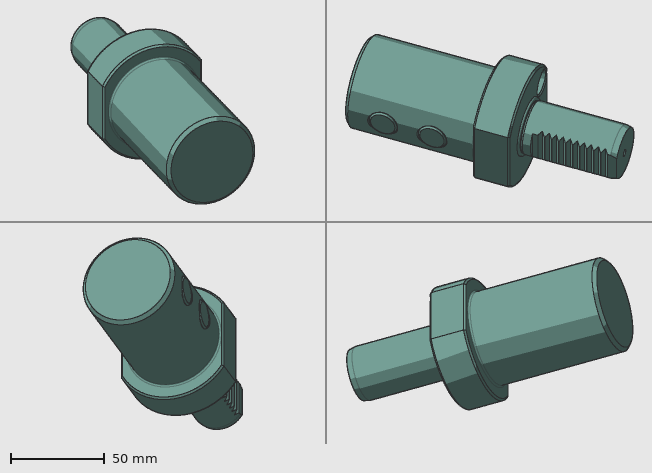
import cadquery as cq
import math


total_length = 150.0
flange_start = 55.0
flange_end = 76.0

shank_radius = 15.0
shank_lead_length = 3.5
shank_end_radius = 14.2
shank_flat_height = 12.0
shank_flat_end = 48.0

tooth_gap_count = 10
tooth_row_length = 36.0
tooth_pitch = tooth_row_length / (tooth_gap_count - 1)
first_tooth_gap = 7.0
tooth_gap_depth = 1.8
tooth_gap_half_width = tooth_gap_depth

centre_hole_radius = 2.0
pilot_radius = 1.0
centre_cone_half_angle = 30.0
pilot_depth = 3.0

flange_diameter = 68.0
flange_radius = flange_diameter / 2
flange_back_flat = 28.0
flange_front_flat = 30.0
flange_chamfer = 1.0

body_radius = 26.0
body_end_chamfer = 2.0
body_root_fillet = 1.0

ring_section_radius = 1.12
ring_centre_radius = 15.5
ring_centre_x = 54.8
undercut_start = 52.6
undercut_depth = 0.5

coolant_hole_circle = 25.0
coolant_hole_angle = 30.0
coolant_hole_radius = 7.0
coolant_hole_chamfer = 0.8
coolant_hole_step_depth = 8.2
coolant_hole_inner_radius = 6.8
coolant_hole_depth = 13.5

first_screw_x = 100.0
screw_spacing = 28.0
screw_positions = (first_screw_x, first_screw_x + screw_spacing)
screw_radius = 8.0
screw_chamfer = 1.0
screw_length = 15.0
screw_top = body_radius
screw_hole_rim_radius = 8.5

drill_half_angle = 59.0


def cone_length(radius_change, half_angle):
    """Axial length over which a cone changes its radius by the given amount."""
    return radius_change / math.tan(math.radians(half_angle))


def revolve_about_x(profile):
    """Solid of revolution from a profile whose ends lie on the X axis."""
    return profile.close().revolve(360, (0, 0, 0), (1, 0, 0))


def make_shank():
    profile = (
        cq.Workplane("XY")
        .lineTo(0, shank_end_radius)
        .lineTo(shank_lead_length, shank_radius)
        .lineTo(undercut_start, shank_radius)
        .lineTo(ring_centre_x - ring_section_radius, shank_radius - undercut_depth)
        .lineTo(flange_start, shank_radius - undercut_depth)
        .lineTo(flange_start, 0)
    )
    return revolve_about_x(profile)


def make_shank_flat():
    return (
        cq.Workplane("XY")
        .box(shank_flat_end, shank_radius, 2 * shank_radius, centered=(False, False, True))
        .translate((0, shank_flat_height, 0))
    )


def make_tooth_gaps():
    gaps = cq.Workplane("XY").workplane(offset=-shank_radius)
    for index in range(tooth_gap_count):
        x = first_tooth_gap + index * tooth_pitch
        gaps = (
            gaps.moveTo(x - tooth_gap_half_width, shank_flat_height)
            .lineTo(x, shank_flat_height - tooth_gap_depth)
            .lineTo(x + tooth_gap_half_width, shank_flat_height)
            .close()
        )
    return gaps.extrude(2 * shank_radius)


def make_centre_hole():
    cone_end = cone_length(centre_hole_radius - pilot_radius, centre_cone_half_angle)
    pilot_tip = pilot_depth + cone_length(pilot_radius, drill_half_angle)
    profile = (
        cq.Workplane("XY")
        .lineTo(0, centre_hole_radius)
        .lineTo(cone_end, pilot_radius)
        .lineTo(pilot_depth, pilot_radius)
        .lineTo(pilot_tip, 0)
    )
    return revolve_about_x(profile)


def make_flange():
    thickness = flange_end - flange_start
    width = flange_front_flat + flange_back_flat
    disc = cq.Workplane("YZ").workplane(offset=flange_start).circle(flange_radius).extrude(thickness)
    slab = (
        cq.Workplane("XY")
        .box(thickness, width, 2 * flange_radius, centered=(False, False, True))
        .translate((flange_start, -flange_front_flat, 0))
    )
    return disc.intersect(slab).faces("<X or >X").edges().chamfer(flange_chamfer)


def make_body():
    root = flange_end + body_root_fillet
    arc_offset = body_root_fillet * (1 - math.sqrt(0.5))
    profile = (
        cq.Workplane("XY")
        .moveTo(flange_end, 0)
        .lineTo(flange_end, body_radius + body_root_fillet)
        .threePointArc((flange_end + arc_offset, body_radius + arc_offset), (root, body_radius))
        .lineTo(total_length - body_end_chamfer, body_radius)
        .lineTo(total_length, body_radius - body_end_chamfer)
        .lineTo(total_length, 0)
    )
    return revolve_about_x(profile)


def make_coolant_hole():
    angle = math.radians(coolant_hole_angle)
    tip = coolant_hole_depth + cone_length(coolant_hole_inner_radius, drill_half_angle)
    profile = (
        cq.Workplane("XY")
        .lineTo(0, coolant_hole_radius + coolant_hole_chamfer)
        .lineTo(coolant_hole_chamfer, coolant_hole_radius)
        .lineTo(coolant_hole_step_depth, coolant_hole_radius)
        .lineTo(coolant_hole_step_depth, coolant_hole_inner_radius)
        .lineTo(coolant_hole_depth, coolant_hole_inner_radius)
        .lineTo(tip, 0)
    )
    return revolve_about_x(profile).translate(
        (flange_start, -coolant_hole_circle * math.cos(angle), coolant_hole_circle * math.sin(angle))
    )


def make_screw_hole(x):
    """Blind hole along Y whose mouth widens conically at 45 degrees to the body surface."""
    bottom = screw_top - screw_length
    cone_start = body_radius - (screw_hole_rim_radius - screw_radius)
    profile = (
        cq.Workplane("XY")
        .moveTo(0, bottom)
        .lineTo(screw_radius, bottom)
        .lineTo(screw_radius, cone_start)
        .lineTo(screw_hole_rim_radius, body_radius)
        .lineTo(0, body_radius)
        .close()
    )
    return profile.revolve(360, (0, 0, 0), (0, 1, 0)).translate((x, 0, 0))


def make_clamping_screw(x):
    bottom = screw_top - screw_length
    screw = cq.Workplane("XZ", origin=(x, bottom, 0)).circle(screw_radius).extrude(-screw_length)
    return screw.faces(">Y").chamfer(screw_chamfer)


def make_sealing_ring():
    return (
        cq.Workplane("XY")
        .center(ring_centre_x, ring_centre_radius)
        .circle(ring_section_radius)
        .revolve(360, (0, -ring_centre_radius, 0), (1, -ring_centre_radius, 0))
    )


def make_housing(sealing_ring):
    housing = make_shank().cut(make_shank_flat()).cut(make_tooth_gaps()).cut(make_centre_hole())
    housing = housing.union(make_flange()).union(make_body()).cut(make_coolant_hole())
    for x in screw_positions:
        housing = housing.cut(make_screw_hole(x))
    return housing.cut(sealing_ring)


sealing_ring = make_sealing_ring()
housing = make_housing(sealing_ring)
clamping_screws = [make_clamping_screw(x) for x in screw_positions]

result = cq.Compound.makeCompound(
    [housing.val(), sealing_ring.val(), *[screw.val() for screw in clamping_screws]]
)